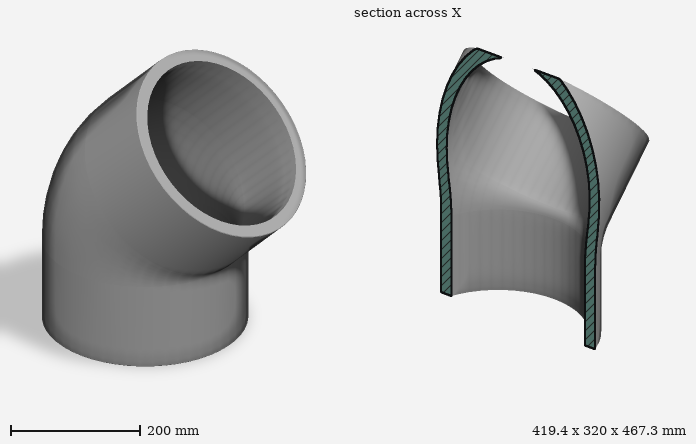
import cadquery as cq
import math

outer_diameter = 320.0
bore_diameter = 280.0
socket_length = 141.0
bend_angle = 45
bend_clearance = 1.5
end_chamfer = 1.0

outer_radius = outer_diameter / 2
bend_radius = outer_radius + bend_clearance

angle = math.radians(bend_angle)
bend_start = (0, socket_length)
bend_end = (
    bend_radius * (1 - math.cos(angle)),
    socket_length + bend_radius * math.sin(angle),
)
upper_end = (
    bend_end[0] + socket_length * math.sin(angle),
    bend_end[1] + socket_length * math.cos(angle),
)
lower_plane = cq.Plane.XY()
bend_plane = cq.Plane(origin=(bend_start[0], 0, bend_start[1]))
upper_plane = cq.Plane(
    origin=(upper_end[0], 0, upper_end[1]),
    xDir=(0, 1, 0),
    normal=(-math.sin(angle), 0, -math.cos(angle)),
)


def socket(end_plane, diameter):
    """Straight round length running inward from an end face."""
    return cq.Workplane(end_plane).circle(diameter / 2).extrude(socket_length)


def bend(diameter):
    """Round section revolved about the pivot axis, which is parallel to Y."""
    return (
        cq.Workplane(bend_plane)
        .circle(diameter / 2)
        .revolve(bend_angle, (bend_radius, 0), (bend_radius, 1))
    )


def chamfered_socket(end_plane):
    """Outer socket with its end rim chamfered."""
    end_face = cq.NearestToPointSelector(end_plane.origin.toTuple())
    return socket(end_plane, outer_diameter).faces(end_face).chamfer(end_chamfer)


outside = (
    chamfered_socket(lower_plane)
    .union(bend(outer_diameter))
    .union(chamfered_socket(upper_plane))
)
bore = (
    socket(lower_plane, bore_diameter)
    .union(bend(bore_diameter))
    .union(socket(upper_plane, bore_diameter))
)

result = outside.cut(bore)